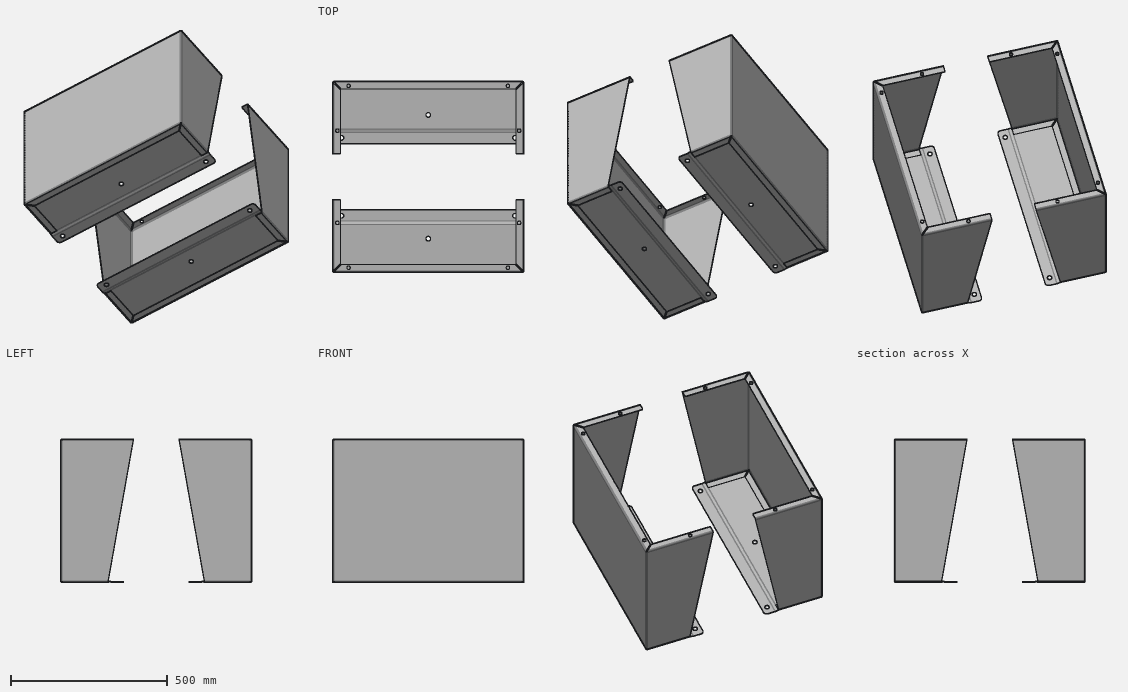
import cadquery as cq
import math

width = 609.6
span = 609.6
height = 457.2

sheet = 2.66
bend_inner = 2.0
bend_outer = bend_inner + sheet
flange = 25.4
miter_gap = 3.4
flange_end_radius = 3.2

side_depth_bottom = 151.9
side_depth_top = 231.8

flange_hole = 11.11
flange_hole_inset = 14.95
back_hole_x = 254.0
side_hole_depth = 158.0

plate_hole = 14.29
plate_hole_depth = 107.5
plate_margin = bend_outer
step_start = 153.0
step_end = 163.5
foot_depth = 200.0
foot_corner = 11.0
foot_hole_inset_x = 28.1
foot_hole_depth = 180.6

relief_inset = flange - 2.0

side_x = width / 2
back_y = span / 2


def bent_wall_block(inset, front_y):
    """Solid block under the bends: inset from the outer faces, bend edges rounded."""
    radius = bend_outer - inset
    block = (
        cq.Workplane("XY")
        .box(width - 2 * inset, back_y - inset - front_y, height - 2 * inset, centered=(True, False, True))
        .translate((0, front_y, height / 2))
    )
    return block.edges("|Z and >Y").fillet(radius).faces(">Z or <Z").edges("not <Y").fillet(radius)


def front_cutter():
    """Everything in front of the sloping edges of the side walls."""
    bottom_y = back_y - side_depth_bottom
    top_y = back_y - side_depth_top
    profile = [
        (-back_y, 0),
        (bottom_y, 0),
        (bottom_y, bend_outer),
        (top_y, height - bend_outer),
        (top_y, height),
        (-back_y, height),
    ]
    return cq.Workplane("YZ").polyline(profile).close().extrude(side_x, both=True)


def flange_opening():
    """Rectangular opening left between the top flanges and between the bottom flanges."""
    return (
        cq.Workplane("XY")
        .box(width - 2 * flange, span - flange, height, centered=(True, False, False))
        .translate((0, -back_y, 0))
    )


def corner_slit(side, inset, center_z, thickness):
    """Diagonal slit from a rear corner inwards, reaching the given inset from both walls."""
    return (
        cq.Workplane("XY")
        .box(2 * math.sqrt(2) * inset, miter_gap, thickness)
        .rotate((0, 0, 0), (0, 0, 1), side * 45)
        .translate((side * side_x, back_y, center_z))
    )


def flange_holes():
    """Two holes in the back top flange and one in each side top flange."""
    side_hole_x = side_x - flange_hole_inset
    points = []
    for side in (-1, 1):
        points.append((side * back_hole_x, back_y - flange_hole_inset))
        points.append((side * side_hole_x, back_y - side_hole_depth))
    return (
        cq.Workplane("XY", origin=(0, 0, height / 2))
        .pushPoints(points)
        .circle(flange_hole / 2)
        .extrude(height)
    )


def round_flange_ends(shell):
    """Round the free inner corners of the top side flanges."""
    end_y = back_y - side_depth_top
    flange_ends = cq.selectors.BoxSelector(
        (-side_x + flange / 2, end_y - sheet, height - 2 * sheet),
        (side_x - flange / 2, end_y + sheet, height + sheet),
    )
    return shell.edges("|Z").edges(flange_ends).fillet(flange_end_radius)


def make_shell():
    """Back wall, two side walls and their inward flanges."""
    front_y = -back_y / 2
    shell = bent_wall_block(0, front_y).cut(bent_wall_block(sheet, front_y))
    shell = shell.cut(front_cutter()).cut(flange_opening())
    for side in (-1, 1):
        for center_z in (sheet / 2, height - sheet / 2):
            shell = shell.cut(corner_slit(side, 2 * flange / 2, center_z, sheet))
    shell = round_flange_ends(shell)
    return shell.cut(flange_holes())


def plate_holes():
    """One hole in the middle of the plate and one near each end of the foot."""
    foot_hole_x = side_x - foot_hole_inset_x
    points = [(0, back_y - plate_hole_depth)]
    for side in (-1, 1):
        points.append((side * foot_hole_x, back_y - foot_hole_depth))
    return cq.Workplane("XY").pushPoints(points).circle(plate_hole / 2).extrude(3 * sheet)


def make_plate():
    """Floor plate lying on the bottom flanges, stepping down to a full-width foot."""
    rear_y = back_y - plate_margin
    start_y = back_y - step_start
    end_y = back_y - step_end
    foot_y = back_y - foot_depth
    profile = [
        (rear_y, sheet),
        (start_y, sheet),
        (end_y, 0),
        (foot_y, 0),
        (foot_y, sheet),
        (end_y, sheet),
        (start_y, 2 * sheet),
        (rear_y, 2 * sheet),
    ]
    plate = cq.Workplane("YZ").polyline(profile).close().extrude(side_x, both=True)
    plate = plate.edges("|Z and <Y").fillet(foot_corner)
    for side in (-1, 1):
        trim = (
            cq.Workplane("XY")
            .box(2 * plate_margin, step_start, 3 * sheet, centered=(True, False, False))
            .translate((side * side_x, start_y, 0))
        )
        plate = plate.cut(trim)
        plate = plate.cut(corner_slit(side, relief_inset, 3 * sheet / 2, 3 * sheet))
    return plate.cut(plate_holes())


shell = make_shell()
plate = make_plate()

bodies = []
for angle in (0, 180):
    for body in (shell, plate):
        bodies.append(body.rotate((0, 0, 0), (0, 0, 1), angle).val())

result = cq.Compound.makeCompound(bodies)